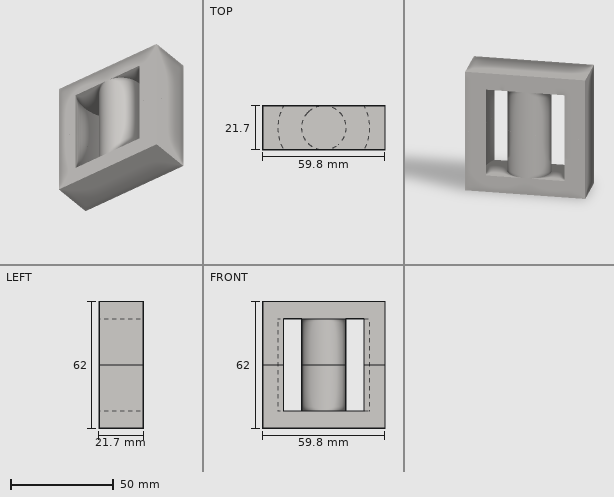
import cadquery as cq

core_width = 59.8
core_depth = 21.65
core_height = 62.0
winding_diameter = 44.7
winding_height = 44.9
air_gap = 0.01

half_height = (core_height - air_gap) / 2
yoke_thickness = (core_height - winding_height) / 2
leg_height = half_height - yoke_thickness


def make_core_half():
    """E-shaped half with its yoke on the XY plane and its legs pointing up."""
    block = cq.Workplane("XY").box(
        core_width, core_depth, half_height, centered=(True, True, False)
    )
    winding_space = (
        cq.Workplane("XY")
        .workplane(offset=yoke_thickness)
        .circle(winding_diameter / 2)
        .circle(core_depth / 2)
        .extrude(leg_height)
    )
    return block.cut(winding_space)


core_halves = []
for turn_angle in (0, 180):
    core_half = (
        make_core_half()
        .translate((0, 0, -core_height / 2))
        .rotate((0, 0, 0), (1, 0, 0), turn_angle)
    )
    core_halves.append(core_half.val())

result = cq.Compound.makeCompound(core_halves)